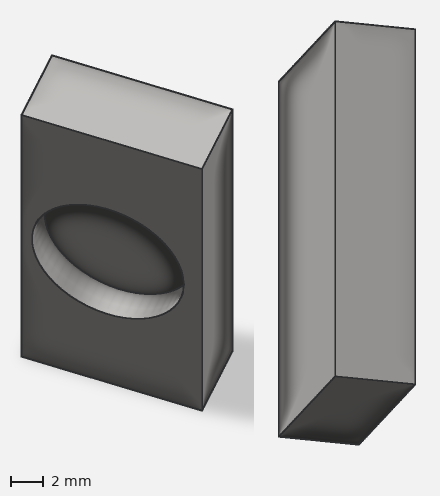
import cadquery as cq

width = 11.78
thickness = 5.1
height = 22.83

pocket_diameter = 9.9
pocket_depth = 2.1
pocket_offset_x = -0.25

block = cq.Workplane("XY").box(width, thickness, height)

pocket = (
    cq.Workplane("XZ", origin=(pocket_offset_x, -thickness / 2, 0))
    .circle(pocket_diameter / 2)
    .extrude(-pocket_depth)
)

result = block.cut(pocket)